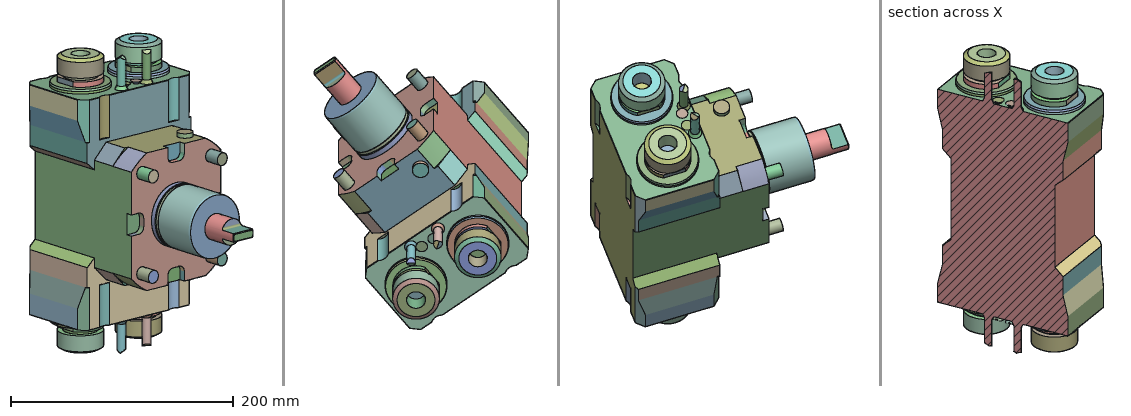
import cadquery as cq
import math


block_length = 80.0
block_half_height = 108.0
head_half_width = 67.5
shoulder_half_width = 62.5
waist_half_width = 54.0
head_edge_z = 88.0
shoulder_top_z = 68.0
shoulder_bottom_z = 48.8
waist_edge_z = 41.3
corner_chamfer = 7.5
end_edge_bevel = 0.45

groove_y = 41.75
groove_half_width = 6.25
groove_depth = 2.2
groove_length = 40.0

flange_length = 50.0
flange_half_height = 64.5
flange_chamfer = 14.3
flange_round_start = 25.0
flange_round_radius = 73.6
flange_face_x = block_length + flange_length

key_slot_width = 19.8
key_slot_depth_x = 6.0
key_slot_depth_radial = 15.0
key_slot_corner_radius = 6.0

screw_radius = 6.0
screw_length = 15.8
screw_y = 41.5
screw_z = 47.0
stud_radius = 7.3
stud_height = 4.2
stud_x = 112.8
stud_y = 26.0

shank_radius = 29.8
shank_length = 52.5
shank_chamfer_length = 2.0
shank_chamfer_depth = 0.4
ring_groove_start = 4.9
ring_groove_width = 4.2
ring_groove_depth = 0.7
journal_radius = 12.25
journal_length = 22.5
tang_length = 16.0
tang_thickness = 8.0
tang_root_radius = 1.8
tang_chamfer = 0.8

nut_x = 40.0
nut_y = 35.0
nut_radius = 21.0
nut_face_radius = 17.0
nut_neck_radius = 16.0
nut_flats_width = 36.4
nut_bore_radius = 8.5
collar_radius = 28.0
collar_top_radius = 27.3
collar_lip_height = 2.3
collar_height = 4.2
wrench_ring_top = 9.2
neck_top = 12.7
nut_chamfer_height = 2.4
nut_height = 30.0

pipe_x = 73.0
pipe_y = 15.2
pipe_radius = 4.0
pipe_tip_z = 277.39 / 2
pipe_tip_drop = 2.8
pipe_ridge_turn = 35.0
pipe_base_radius = 5.9
pipe_base_height = 3.5
plug_x = 68.4
plug_y = 6.7
plug_radius = 5.2
plug_base_radius = 2.6
plug_height = 2.6


def revolve_about_z(profile, x, y, z):
    """Revolve an (r, z) outline about a vertical axis through (x, y), starting at height z."""
    solid = cq.Workplane("XZ").polyline(profile).close().revolve(360, (0, 0, 0), (0, 1, 0))
    return solid.translate((x, y, z))


def cylinder_x(x, y, z, radius, length):
    """Cylinder along +X whose first face is centred at (x, y, z)."""
    return cq.Workplane("YZ", origin=(x, y, z)).circle(radius).extrude(length)


def both_ends(solid):
    """A solid at the top together with its mirror image at the bottom."""
    return solid.union(solid.mirror("XY"))


def make_block():
    upper_right = [
        (waist_half_width, waist_edge_z),
        (shoulder_half_width, shoulder_bottom_z),
        (shoulder_half_width, shoulder_top_z),
        (head_half_width, head_edge_z),
        (head_half_width, block_half_height),
    ]
    upper_left = [(-y, z) for y, z in reversed(upper_right)]
    lower_left = [(y, -z) for y, z in reversed(upper_left)]
    lower_right = [(y, -z) for y, z in reversed(upper_right)]
    outline = upper_right + upper_left + lower_left + lower_right
    block = cq.Workplane("YZ").polyline(outline).close().extrude(block_length)
    block = block.faces(">Z or <Z").edges().chamfer(end_edge_bevel)
    return block.cut(make_rear_corner_cuts()).cut(make_front_corner_cuts())


def corner_wedge(corner_x, inward):
    """Full-height wedge that bevels the +Y edge of the block at corner_x."""
    reach = 2 * corner_chamfer
    points = [
        (corner_x + inward * corner_chamfer, head_half_width),
        (corner_x, head_half_width - corner_chamfer),
        (corner_x - inward * reach, head_half_width - corner_chamfer),
        (corner_x - inward * reach, head_half_width + reach),
        (corner_x + inward * corner_chamfer, head_half_width + reach),
    ]
    return cq.Workplane("XY").polyline(points).close().extrude(block_half_height, both=True)


def make_rear_corner_cuts():
    wedge = corner_wedge(0, 1)
    return wedge.union(wedge.mirror("XZ"))


def make_front_corner_cuts():
    """The front bevels stop at the shoulders, leaving a ledge."""
    wedge = corner_wedge(block_length, -1)
    wedges = wedge.union(wedge.mirror("XZ"))
    kept_band = cq.Workplane("XY").box(4 * block_length, 4 * head_half_width, 2 * shoulder_top_z)
    return wedges.cut(kept_band)


def make_grooves():
    radius = (groove_half_width**2 + groove_depth**2) / (2 * groove_depth)
    centre_offset = radius - groove_depth
    centres = [
        (x, y)
        for x in (-centre_offset, block_length + centre_offset)
        for y in (-groove_y, groove_y)
    ]
    top_grooves = (
        cq.Workplane("XY", origin=(0, 0, block_half_height - groove_length))
        .pushPoints(centres)
        .circle(radius)
        .extrude(groove_length)
    )
    return both_ends(top_grooves)


def make_flange():
    straight = (
        cq.Workplane("YZ", origin=(block_length, 0, 0))
        .rect(2 * waist_half_width, 2 * flange_half_height)
        .extrude(flange_round_start)
        .edges("|X")
        .chamfer(flange_chamfer)
    )
    round_start_x = block_length + flange_round_start
    round_length = flange_length - flange_round_start
    rounded = (
        cq.Workplane("YZ", origin=(round_start_x, 0, 0))
        .rect(2 * waist_half_width, 2 * flange_half_height)
        .extrude(round_length)
        .intersect(cylinder_x(round_start_x, 0, 0, flange_round_radius, round_length))
    )
    return straight.union(rounded)


def key_slot(outer_distance):
    """Slot entering the flange face from +Z, with rounded inner corners."""
    return (
        cq.Workplane("YZ", origin=(flange_face_x - key_slot_depth_x, 0, outer_distance))
        .rect(key_slot_width, 2 * key_slot_depth_radial)
        .extrude(key_slot_depth_x)
        .edges("|X and <Z")
        .fillet(key_slot_corner_radius)
    )


def make_key_slots():
    upper = key_slot(flange_half_height)
    side = key_slot(waist_half_width).rotate((0, 0, 0), (1, 0, 0), 90)
    return both_ends(upper).union(side).union(side.mirror("XZ"))


def make_screws():
    centres = [(y, z) for y in (-screw_y, screw_y) for z in (-screw_z, screw_z)]
    return (
        cq.Workplane("YZ", origin=(flange_face_x, 0, 0))
        .pushPoints(centres)
        .circle(screw_radius)
        .extrude(screw_length)
    )


def make_studs():
    stud = (
        cq.Workplane("XY", origin=(stud_x, stud_y, flange_half_height))
        .circle(stud_radius)
        .extrude(stud_height)
    )
    return both_ends(stud)


def make_spindle():
    ring_floor = shank_radius - ring_groove_depth
    ring_end = ring_groove_start + ring_groove_width
    tip_x = shank_length + journal_length + tang_length
    outline = [
        (0, 0),
        (0, shank_radius),
        (ring_groove_start, shank_radius),
        (ring_groove_start + ring_groove_depth, ring_floor),
        (ring_end - ring_groove_depth, ring_floor),
        (ring_end, shank_radius),
        (shank_length - shank_chamfer_length, shank_radius),
        (shank_length, shank_radius - shank_chamfer_depth),
        (shank_length, journal_radius),
        (tip_x - tang_chamfer, journal_radius),
        (tip_x, journal_radius - tang_chamfer),
        (tip_x, 0),
    ]
    spindle = cq.Workplane("XY").polyline(outline).close().revolve(360, (0, 0, 0), (1, 0, 0))
    relief = tang_relief(shank_length + journal_length, tip_x)
    return spindle.cut(both_ends(relief)).translate((flange_face_x, 0, 0))


def tang_relief(root_x, tip_x):
    """Material above the flat tang, with a rounded root and a bevelled tip."""
    half_thickness = tang_thickness / 2
    bend = tang_root_radius * (1 - math.sqrt(0.5))
    return (
        cq.Workplane("XZ")
        .moveTo(root_x, 2 * journal_radius)
        .lineTo(root_x, half_thickness + tang_root_radius)
        .threePointArc(
            (root_x + bend, half_thickness + bend),
            (root_x + tang_root_radius, half_thickness),
        )
        .lineTo(tip_x - tang_chamfer, half_thickness)
        .lineTo(tip_x, half_thickness - tang_chamfer)
        .lineTo(tip_x, 2 * journal_radius)
        .close()
        .extrude(2 * journal_radius, both=True)
    )


def make_nut(y):
    """Collet nut standing on the block's top face: collar, wrench flats, neck and bored head."""
    collar_profile = [
        (0, 0),
        (collar_radius, 0),
        (collar_radius, collar_lip_height),
        (collar_top_radius, collar_height),
        (0, collar_height),
    ]
    head_profile = [
        (0, wrench_ring_top),
        (nut_neck_radius, wrench_ring_top),
        (nut_neck_radius, neck_top),
        (nut_radius, neck_top),
        (nut_radius, nut_height - nut_chamfer_height),
        (nut_face_radius, nut_height),
        (nut_bore_radius, nut_height),
        (nut_bore_radius, neck_top),
        (0, neck_top),
    ]
    collar = revolve_about_z(collar_profile, nut_x, y, block_half_height)
    head = revolve_about_z(head_profile, nut_x, y, block_half_height)
    ring_height = wrench_ring_top - collar_height
    flats = cq.Workplane("XY").box(2 * nut_radius, nut_flats_width, 2 * ring_height)
    ring = (
        cq.Workplane("XY")
        .circle(nut_radius)
        .extrude(ring_height)
        .intersect(flats)
        .translate((nut_x, y, block_half_height + collar_height))
    )
    return collar.union(ring).union(head)


def make_pipe(side):
    """Coolant pipe with a flared foot and a wedge-shaped tip; side is +1 or -1 in Y."""
    length = pipe_tip_z - block_half_height
    foot_profile = [
        (0, 0),
        (pipe_base_radius, 0),
        (pipe_radius, pipe_base_height),
        (0, pipe_base_height),
    ]
    wedge_outline = [
        (-pipe_radius, 0),
        (pipe_radius, 0),
        (pipe_radius, length - pipe_tip_drop),
        (0, length),
        (-pipe_radius, length - pipe_tip_drop),
    ]
    wedge = (
        cq.Workplane("XZ")
        .polyline(wedge_outline)
        .close()
        .extrude(pipe_radius, both=True)
        .rotate((0, 0, 0), (0, 0, 1), -side * pipe_ridge_turn)
    )
    tube = cq.Workplane("XY").circle(pipe_radius).extrude(length).intersect(wedge)
    tube = tube.translate((pipe_x, side * pipe_y, block_half_height))
    return tube.union(revolve_about_z(foot_profile, pipe_x, side * pipe_y, block_half_height))


def make_plug(side):
    profile = [
        (0, 0),
        (plug_base_radius, 0),
        (plug_radius, plug_height),
        (0, plug_height),
    ]
    return revolve_about_z(profile, plug_x, side * plug_y, block_half_height)


def make_end_fittings():
    fittings = make_nut(nut_y).union(make_nut(-nut_y))
    for side in (1, -1):
        fittings = fittings.union(make_pipe(side)).union(make_plug(side))
    return both_ends(fittings)


body = make_block().cut(make_grooves()).union(make_flange()).cut(make_key_slots())
result = (
    body.union(make_screws())
    .union(make_studs())
    .union(make_spindle())
    .union(make_end_fittings())
)